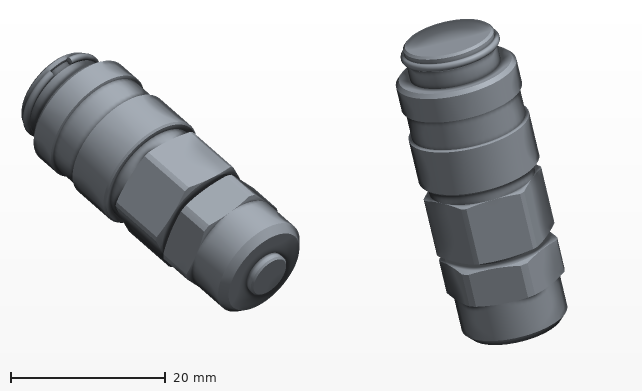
import cadquery as cq
import math

LENGTH = 42.15

NOSE_DIA = 12.0
NOSE_FACE_DIA = 11.4
NOSE_CHAMFER_LENGTH = 0.3
GROOVE_START = 0.93
GROOVE_WIDTH = 1.15
GROOVE_FLOOR_DIA = 11.1

WIRE_DIA = 1.0
RING_GAP_ANGLE = 29.0
RING_GAP_TILT = 2.7

SLEEVE_START = 4.45
SLEEVE_END = 18.93
SLEEVE_DIA = 15.97
SLEEVE_FACE_DIA = 14.95
SLEEVE_FRONT_CHAMFER_LENGTH = 0.5
SLEEVE_REAR_CHAMFER = 0.25
BAND_START = 8.35
BAND_END = 12.6
BAND_DIA = 15.1
BAND_WALL_LENGTH = 0.13

HEX_FLATS = 14.0
HEX_FACE_DIA = 14.0
HEX_CHAMFER_LENGTH = 0.25
BODY_HEX_START = 20.55
BODY_HEX_END = 28.95
BODY_HEX_CORNER_DIA = 15.75
BODY_HEX_TURN = 11.6
NUT_HEX_START = 29.93
NUT_HEX_END = 35.0
NUT_HEX_CORNER_DIA = 15.6
NUT_HEX_TURN = -3.9

NECK_DIA = 14.0

WAIST_DIA = 10.4
WAIST_CONE_DIA = 10.7
WAIST_CONE_END = 29.4

BARREL_DIA = 14.0
BARREL_END = 41.0
BARREL_FACE_DIA = 12.15
BARREL_CHAMFER_LENGTH = 1.0

STUB_DIA = 6.05
STUB_CHAMFER = 0.25


def turned(outline):
    """Solid of revolution about X from (x, diameter) points, closed along the axis."""
    points = [(x, diameter / 2) for x, diameter in outline]
    first_x = points[0][0]
    last_x = points[-1][0]
    return (
        cq.Workplane("XY")
        .polyline([(first_x, 0), *points, (last_x, 0)])
        .close()
        .revolve(360, (0, 0, 0), (1, 0, 0))
    )


def nose():
    groove_end = GROOVE_START + GROOVE_WIDTH
    return turned([
        (0, NOSE_FACE_DIA),
        (NOSE_CHAMFER_LENGTH, NOSE_DIA),
        (GROOVE_START, NOSE_DIA),
        (GROOVE_START, GROOVE_FLOOR_DIA),
        (groove_end, GROOVE_FLOOR_DIA),
        (groove_end, NOSE_DIA),
        (SLEEVE_START, NOSE_DIA),
    ])


def sleeve():
    return turned([
        (SLEEVE_START, SLEEVE_FACE_DIA),
        (SLEEVE_START + SLEEVE_FRONT_CHAMFER_LENGTH, SLEEVE_DIA),
        (BAND_START, SLEEVE_DIA),
        (BAND_START + BAND_WALL_LENGTH, BAND_DIA),
        (BAND_END - BAND_WALL_LENGTH, BAND_DIA),
        (BAND_END, SLEEVE_DIA),
        (SLEEVE_END - SLEEVE_REAR_CHAMFER, SLEEVE_DIA),
        (SLEEVE_END, SLEEVE_DIA - 2 * SLEEVE_REAR_CHAMFER),
    ])


def neck():
    return turned([(SLEEVE_END, NECK_DIA), (BODY_HEX_START, NECK_DIA)])


def hexagon(start, end, corner_dia, turn):
    """Hexagonal prism trimmed by a turned blank that rounds the corners and chamfers the ends."""
    sharp_corner_dia = HEX_FLATS / math.cos(math.radians(30))
    prism = (
        cq.Workplane("YZ", origin=(start, 0, 0))
        .polygon(6, sharp_corner_dia)
        .extrude(end - start)
        .rotate((0, 0, 0), (1, 0, 0), -turn)
    )
    blank = turned([
        (start, HEX_FACE_DIA),
        (start + HEX_CHAMFER_LENGTH, corner_dia),
        (end - HEX_CHAMFER_LENGTH, corner_dia),
        (end, HEX_FACE_DIA),
    ])
    return prism.intersect(blank)


def waist():
    return turned([
        (BODY_HEX_END, WAIST_CONE_DIA),
        (WAIST_CONE_END, WAIST_DIA),
        (NUT_HEX_START, WAIST_DIA),
    ])


def barrel():
    return turned([
        (NUT_HEX_END, BARREL_DIA),
        (BARREL_END - BARREL_CHAMFER_LENGTH, BARREL_DIA),
        (BARREL_END, BARREL_FACE_DIA),
    ])


def stub():
    return turned([
        (BARREL_END, STUB_DIA),
        (LENGTH - STUB_CHAMFER, STUB_DIA),
        (LENGTH, STUB_DIA - 2 * STUB_CHAMFER),
    ])


def make_coupling():
    body_hex = hexagon(BODY_HEX_START, BODY_HEX_END, BODY_HEX_CORNER_DIA, BODY_HEX_TURN)
    nut_hex = hexagon(NUT_HEX_START, NUT_HEX_END, NUT_HEX_CORNER_DIA, NUT_HEX_TURN)
    coupling = nose()
    for section in (sleeve(), neck(), body_hex, waist(), nut_hex, barrel(), stub()):
        coupling = coupling.union(section)
    return coupling


def make_snap_ring():
    """Wire ring around the groove, open near the top, with its ends cut radially."""
    wire_x = GROOVE_START + WIRE_DIA / 2
    wire_radius = (GROOVE_FLOOR_DIA + WIRE_DIA) / 2
    gap_far_edge = 90 + RING_GAP_TILT + RING_GAP_ANGLE / 2
    return (
        cq.Workplane("XY")
        .center(wire_x, wire_radius)
        .circle(WIRE_DIA / 2)
        .revolve(360 - RING_GAP_ANGLE, (0, -wire_radius, 0), (1, -wire_radius, 0))
        .rotate((0, 0, 0), (1, 0, 0), gap_far_edge)
    )


coupling = make_coupling()
snap_ring = make_snap_ring()

result = cq.Compound.makeCompound([*coupling.solids().vals(), *snap_ring.solids().vals()])